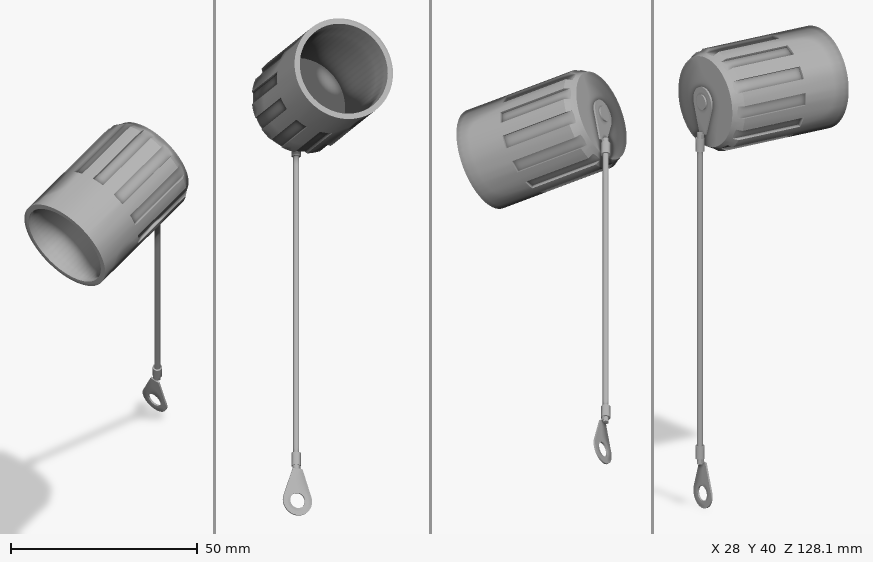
import cadquery as cq
import math

cap_radius = 14.0
bore_radius = 12.5
cap_length = 37.2
end_wall = 3.2
taper_start = 34.2
shoulder_y = 35.9
shoulder_radius = 13.0
end_radius = 12.4

slot_count = 12
slot_width = 3.5
slot_start = 14.0
slot_floor_radius = shoulder_radius

tether_x = 0.3
lug_gap = 0.3
lug_thickness = 0.5
eye_spacing = 110.0
eye_radius = 4.09
eye_hole_radius = 2.1
lug_top_width = 2.7
lug_top = 8.9
neck_radius = 1.1
crimp_start = 10.0
crimp_length = 3.6
crimp_radius = 1.25
cord_radius = 0.8
cord_end = 8.5
rivet_height = 1.25

lug_back = cap_length + lug_gap
cord_y = lug_back + crimp_radius


def make_cap():
    """Cup with a curved taper at the closed end."""
    outer = (
        cq.Workplane("XY")
        .moveTo(0, 0)
        .lineTo(cap_radius, 0)
        .lineTo(cap_radius, taper_start)
        .threePointArc((shoulder_radius, shoulder_y), (end_radius, cap_length))
        .lineTo(0, cap_length)
        .close()
        .revolve(360, (0, 0, 0), (0, 1, 0))
    )
    return outer.cut(cylinder_along_y(bore_radius, 0, cap_length - end_wall))


def cylinder_along_y(radius, start, end):
    """Cylinder around the Y axis between two Y positions."""
    return cq.Workplane("XZ", origin=(0, start, 0)).circle(radius).extrude(start - end)


def cylinder_along_cord(radius, bottom, top):
    """Cylinder around the cord axis between two Z positions."""
    return cq.Workplane("XY", origin=(0, cord_y, bottom)).circle(radius).extrude(top - bottom)


def cut_grip_slots(cap):
    """Flat-floored slots running out through the tapered end."""
    slot_length = cap_length - slot_start
    slot_height = cap_radius
    slot = cq.Workplane("XY").box(
        slot_width, slot_length, slot_height, centered=(True, False, False)
    ).translate((0, slot_start, slot_floor_radius))
    for index in range(slot_count):
        angle = index * 360 / slot_count
        cap = cap.cut(slot.rotate((0, 0, 0), (0, 1, 0), angle))
    return cap


def make_lug():
    """Flat ring lug with its eye around the Y axis, narrowing downwards."""
    half_top = lug_top_width / 2
    corner_distance = math.hypot(half_top, lug_top)
    tangent_angle = math.atan2(-lug_top, half_top) + math.acos(eye_radius / corner_distance)
    tangent_x = eye_radius * math.cos(tangent_angle)
    tangent_z = eye_radius * math.sin(tangent_angle)
    return (
        cq.Workplane("XZ", origin=(0, lug_back, 0))
        .moveTo(tangent_x, tangent_z)
        .threePointArc((0, eye_radius), (-tangent_x, tangent_z))
        .lineTo(-half_top, -lug_top)
        .lineTo(half_top, -lug_top)
        .close()
        .moveTo(0, 0)
        .circle(eye_hole_radius)
        .extrude(-lug_thickness)
    )


def make_neck():
    """Lug-side half of a round bar between the flat lug and the crimp sleeve."""
    neck_length = crimp_start - lug_top
    return (
        cq.Workplane("XY", origin=(0, cord_y, -crimp_start))
        .moveTo(neck_radius, 0)
        .threePointArc((0, -neck_radius), (-neck_radius, 0))
        .close()
        .extrude(neck_length)
    )


def make_tether():
    """Cord hanging along -Z with a crimped lug at both ends."""
    crimp = cylinder_along_cord(crimp_radius, -crimp_start - crimp_length, -crimp_start)
    upper_end = make_lug().union(make_neck()).union(crimp)
    lower_end = upper_end.mirror("XY").translate((0, 0, -eye_spacing))
    cord = cylinder_along_cord(cord_radius, cord_end - eye_spacing, -cord_end)
    return cord.union(upper_end).union(lower_end)


def make_rivet():
    """Pin filling the upper eye and holding it on the cap's end wall."""
    return cylinder_along_y(eye_hole_radius, cap_length - end_wall / 2, cap_length + rivet_height)


cap = cut_grip_slots(make_cap())
tether = make_tether().union(make_rivet()).translate((tether_x, 0, 0))
result = cap.union(tether)